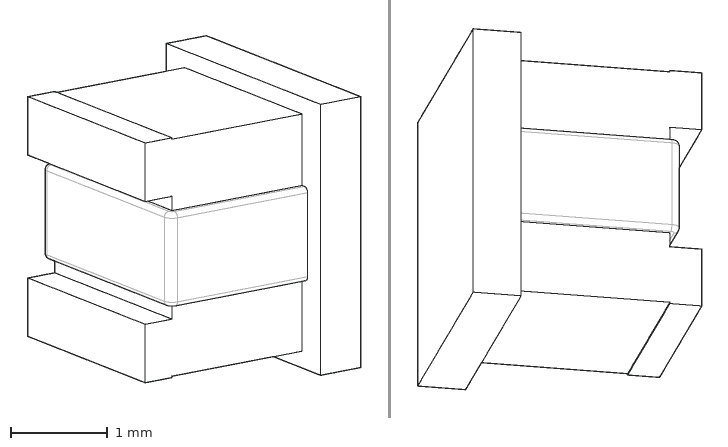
import cadquery as cq

plate_width = 2.79
plate_height = 2.92
plate_thickness = 0.508

core_width = 2.123
core_height = 2.555
core_length = 1.645

total_depth = 2.49
feet_span = 2.585
foot_height = 0.63

band_width = 2.318
band_height = 1.015
band_thickness = (band_width - core_width) / 2
band_length = core_length + band_thickness
band_edge_radius = 0.055
band_corner_radius = band_thickness

plate_front = total_depth / 2 - plate_thickness
core_front = plate_front - core_length
foot_length = total_depth - plate_thickness - core_length


def block(width, length, height, back):
    """Block centred in X and Z, running from `back` toward -Y."""
    return cq.Workplane("XY").box(width, length, height).translate((0, back - length / 2, 0))


plate = block(plate_width, plate_thickness, plate_height, total_depth / 2)
core = block(core_width, core_length, core_height, plate_front)

band = block(band_width, band_length, band_height, plate_front)
band = band.edges("|Z and <Y").fillet(band_corner_radius)
band = band.faces(">Z or <Z").edges("not >Y").fillet(band_edge_radius)

result = plate.union(core).union(band)

foot = block(core_width, foot_length, foot_height, core_front)
foot_offset = (feet_span - foot_height) / 2
for side in (-1, 1):
    result = result.union(foot.translate((0, 0, side * foot_offset)))